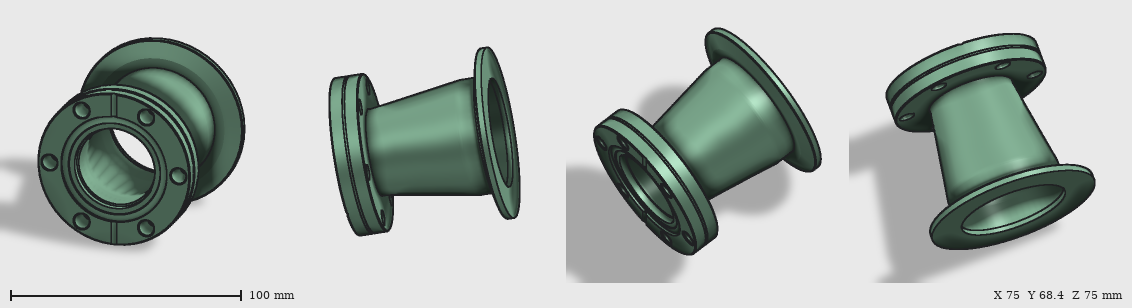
import cadquery as cq
import math

overall_length = 68.4
front_face = -overall_length / 2
back_face = overall_length / 2

clamp_diameter = 75.0
clamp_rim_thickness = 3.1
clamp_thickness = 5.1
clamp_taper_angle = 15.0
clamp_rim_chamfer = 0.4
clamp_bore_diameter = 47.6
clamp_socket_diameter = 51.1
clamp_lip_thickness = 2.25

bolted_diameter = 69.3
bolted_thickness = 12.8
bolted_back = front_face + bolted_thickness
bolted_edge_chamfer = 0.45
bolted_bore_diameter = 36.6
bolted_socket_diameter = 38.3
bolted_lip_thickness = 4.4
rim_groove_width = 1.05
rim_groove_depth = 0.3
rim_groove_offset = 6.4

gasket_diameter = 48.2
valley_diameter = 46.95
valley_depth = 1.35
knife_diameter = 41.9
knife_depth = 0.75
knife_inner_diameter = 41.4
seal_floor_depth = 1.2

bolt_count = 6
bolt_hole_diameter = 6.75
bolt_circle_diameter = 58.7
bolt_hole_chamfer = 0.45
leak_groove_width = 2.55
leak_groove_depth = 0.6

wall = 1.65
large_radius = 50.8 / 2
small_radius = 38.1 / 2
large_bend_start = back_face - 12.9
small_bend_start = front_face + 13.5
bend_length = 1.8


def plane_at(y):
    """Workplane facing -Y at the given Y position."""
    return cq.Workplane("XZ", origin=(0, y, 0))


def cylinder(diameter, y_front, y_back):
    """Cylinder on the Y axis between two Y positions."""
    return plane_at(y_back).circle(diameter / 2).extrude(y_back - y_front)


def revolve_profile(profile):
    """Turn a closed (radius, Y) profile about the Y axis."""
    return profile.close().revolve(360, (0, 0, 0), (0, 1, 0))


def make_clamp_flange():
    rim_front = back_face - clamp_rim_thickness + clamp_rim_chamfer
    flange_front = back_face - clamp_thickness
    taper_drop = (clamp_thickness - clamp_rim_thickness) / math.tan(math.radians(clamp_taper_angle))
    rim_radius = clamp_diameter / 2
    flange = revolve_profile(
        cq.Workplane("XY")
        .moveTo(0, back_face)
        .lineTo(rim_radius, back_face)
        .lineTo(rim_radius, rim_front)
        .lineTo(rim_radius - clamp_rim_chamfer, back_face - clamp_rim_thickness)
        .lineTo(rim_radius - taper_drop, flange_front)
        .lineTo(0, flange_front)
    )
    flange = flange.cut(cylinder(clamp_bore_diameter, flange_front, back_face))
    return flange.cut(cylinder(clamp_socket_diameter, flange_front, back_face - clamp_lip_thickness))


def make_seal_recess():
    """Recess with a narrow outer floor that slopes up to a raised knife edge around the bore."""
    return revolve_profile(
        cq.Workplane("XY")
        .moveTo(0, front_face)
        .lineTo(gasket_diameter / 2, front_face)
        .lineTo(gasket_diameter / 2, front_face + valley_depth)
        .lineTo(valley_diameter / 2, front_face + valley_depth)
        .lineTo(knife_diameter / 2, front_face + knife_depth)
        .lineTo(knife_inner_diameter / 2, front_face + seal_floor_depth)
        .lineTo(0, front_face + seal_floor_depth)
    )


def make_rim_groove():
    groove_center = front_face + rim_groove_offset
    y_front = groove_center - rim_groove_width / 2
    y_back = groove_center + rim_groove_width / 2
    floor_diameter = bolted_diameter - 2 * rim_groove_depth
    return cylinder(bolted_diameter, y_front, y_back).cut(cylinder(floor_diameter, y_front, y_back))


def make_bolt_holes():
    return (
        plane_at(bolted_back)
        .polarArray(bolt_circle_diameter / 2, 0, 360, bolt_count)
        .circle(bolt_hole_diameter / 2)
        .extrude(bolted_thickness)
    )


def make_bolt_countersinks():
    """Small cones that break the front edges of the bolt holes."""
    return (
        plane_at(front_face)
        .polarArray(bolt_circle_diameter / 2, 0, 360, bolt_count)
        .circle(bolt_hole_diameter / 2 + bolt_hole_chamfer)
        .extrude(-bolt_hole_chamfer, taper=45)
    )


def make_leak_groove():
    """Round-bottomed groove right across the front face, along Z."""
    half_width = leak_groove_width / 2
    groove_radius = (half_width**2 + leak_groove_depth**2) / (2 * leak_groove_depth)
    return (
        cq.Workplane("XY", origin=(0, 0, -bolted_diameter / 2))
        .center(0, front_face + leak_groove_depth - groove_radius)
        .circle(groove_radius)
        .extrude(bolted_diameter)
    )


def make_bolted_flange():
    flange = cylinder(bolted_diameter, front_face, bolted_back)
    flange = flange.edges().chamfer(bolted_edge_chamfer)
    flange = flange.cut(make_rim_groove())
    flange = flange.cut(make_leak_groove())
    flange = flange.cut(cylinder(bolted_bore_diameter, front_face, bolted_back))
    flange = flange.cut(cylinder(bolted_socket_diameter, front_face + bolted_lip_thickness, bolted_back))
    flange = flange.cut(make_seal_recess())
    flange = flange.cut(make_bolt_holes())
    return flange.cut(make_bolt_countersinks())


def make_reducer_tube():
    """Thin tube: large cylinder, cone and small cylinder, joined by tangent bends."""
    tube_front = front_face + bolted_lip_thickness
    tube_back = back_face - clamp_lip_thickness
    cone_front = small_bend_start + bend_length
    cone_back = large_bend_start - bend_length
    corner_span = large_bend_start - small_bend_start - bend_length
    cone_angle = math.atan((large_radius - small_radius) / corner_span)
    bend_shift = bend_length * math.tan(cone_angle / 2)

    def wall_solid(inset):
        large = large_radius - inset
        small = small_radius - inset
        return revolve_profile(
            cq.Workplane("XY")
            .moveTo(0, tube_front)
            .lineTo(small, tube_front)
            .lineTo(small, small_bend_start)
            .tangentArcPoint((small + bend_shift, cone_front), relative=False)
            .lineTo(large - bend_shift, cone_back)
            .tangentArcPoint((large, large_bend_start), relative=False)
            .lineTo(large, tube_back)
            .lineTo(0, tube_back)
        )

    return wall_solid(0).cut(wall_solid(wall))


clamp_flange = make_clamp_flange()
bolted_flange = make_bolted_flange()
reducer_tube = make_reducer_tube()

result = cq.Compound.makeCompound([clamp_flange.val(), bolted_flange.val(), reducer_tube.val()])